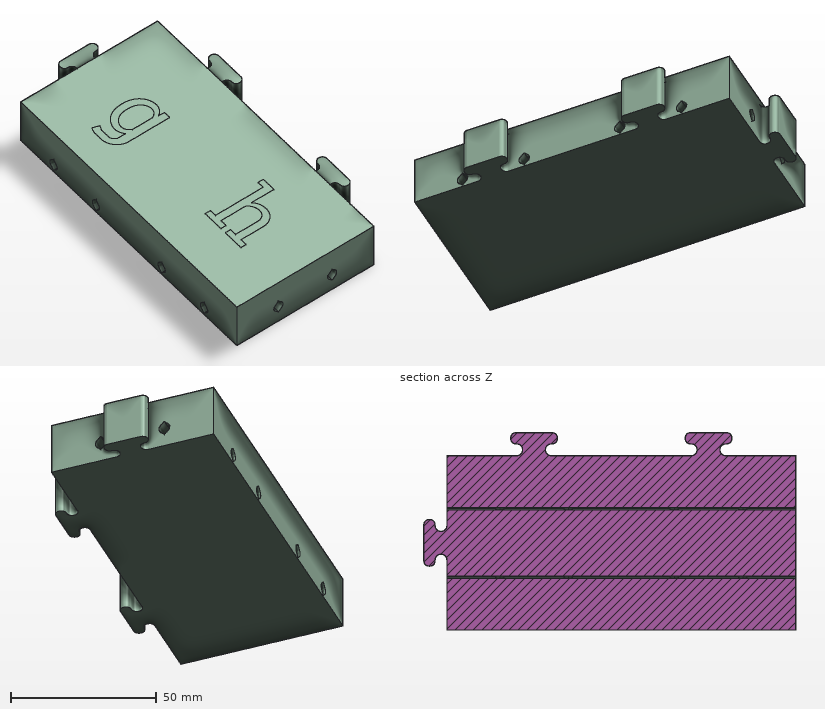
import cadquery as cq
import math

DIAGONAL = math.sqrt(0.5)

TILE = 60.0
TILE_COUNT = 2
BLOCK_LENGTH = TILE_COUNT * TILE
BLOCK_WIDTH = TILE
BLOCK_HEIGHT = 20.0

HEAD_THICKNESS = 4.0
CONNECTOR_REACH = 2 * HEAD_THICKNESS
CONNECTOR_HEIGHT = 17.5
HEAD_HALF_WIDTH = 8.0
NECK_HALF_WIDTH = 4.0
ROUND_RADIUS = 1.9

HOLE_DIAMETER = 4.0
HOLE_OFFSET = 11.8
HOLE_ALONG_Y_Z = 3.5
HOLE_ALONG_X_Z = 7.5

INLAY_DEPTH = 1.0
STROKE = 3.1
SERIF_THICKNESS = 2.3

H_BASELINE = 18.0
H_TOP = 43.5
H_STEM_LEFT = 82.4
H_LEG_LEFT = 93.5
SERIF_OVERHANG = 2.8
H_ARCH_TOP = 36.0
H_ARCH_TOP_X = 90.8
H_ARCH_JOIN = 33.7

G_STEM_LEFT = 33.8
G_STEM_RIGHT = 37.4
G_TOP = 35.8
G_BOWL_LEFT = 22.3
G_BOWL_MIDDLE = 26.7
G_BOWL_PEAK_X = 29.3
G_BOWL_HALF_HEIGHT = 9.1
G_BOWL_JOIN = 7.4
G_COUNTER_LEFT = 25.3
G_COUNTER_PEAK_X = 29.7
G_COUNTER_HALF_HEIGHT = 6.7
G_COUNTER_JOIN = 4.4
G_EAR_LOW = (34.3, 33.3)
G_EAR_HIGH_X = 34.5
G_TAIL_BOTTOM = 11.1
G_TAIL_THICKNESS = 2.7
G_TAIL_OUTER_RADIUS = 6.9
G_TAIL_INNER_RADIUS = 2.5
G_TAIL_LOW_X = 27.4
G_TAIL_TIP_LOW = (24.6, 11.9)
G_TAIL_TIP_HIGH = (25.5, 14.6)


def diagonal_point(center_x, center_y, radius, x_side=1, y_side=1):
    """Point on a circle at 45 degrees, in the quadrant picked by the two side signs."""
    return center_x + x_side * radius * DIAGONAL, center_y + y_side * radius * DIAGONAL


def connector():
    """T-shaped connector growing along +Y from the origin, with its root on Y = 0."""
    radius = ROUND_RADIUS
    root = NECK_HALF_WIDTH + radius
    head_round = HEAD_HALF_WIDTH - radius
    head_bottom = CONNECTOR_REACH - HEAD_THICKNESS
    upper_round_y = CONNECTOR_REACH - radius
    lower_round_y = head_bottom + radius
    lower_round = diagonal_point(head_round, lower_round_y, radius, 1, -1)
    neck_top_y = head_bottom - radius
    half = (
        cq.Workplane("XY")
        .lineTo(root, 0)
        .threePointArc(diagonal_point(root, radius, radius, -1, -1), (NECK_HALF_WIDTH, radius))
        .lineTo(NECK_HALF_WIDTH, neck_top_y)
        .threePointArc(diagonal_point(root, neck_top_y, radius, -1, 1), (root, head_bottom))
        .lineTo(head_round, head_bottom)
        .threePointArc(lower_round, (HEAD_HALF_WIDTH, lower_round_y))
        .lineTo(HEAD_HALF_WIDTH, upper_round_y)
        .threePointArc(diagonal_point(head_round, upper_round_y, radius), (head_round, CONNECTOR_REACH))
        .lineTo(0, CONNECTOR_REACH)
        .close()
        .extrude(CONNECTOR_HEIGHT)
    )
    return half.union(half.mirror("YZ")).clean()


def peaked_hole(plane, position, height, length):
    """Through-hole cutter, symmetric about the plane, its round sides tangent to the peaks."""
    radius = HOLE_DIAMETER / 2
    peak = radius / DIAGONAL
    return (
        cq.Workplane(plane)
        .center(position, height)
        .moveTo(0, peak)
        .lineTo(*diagonal_point(0, 0, radius))
        .threePointArc((radius, 0), diagonal_point(0, 0, radius, 1, -1))
        .lineTo(0, -peak)
        .lineTo(*diagonal_point(0, 0, radius, -1, -1))
        .threePointArc((-radius, 0), diagonal_point(0, 0, radius, -1, 1))
        .close()
        .extrude(length, both=True)
    )


def inlay_sketch():
    """Workplane at the floor of the letter recesses."""
    return cq.Workplane("XY", origin=(0, 0, BLOCK_HEIGHT - INLAY_DEPTH))


def letter_h():
    """Slab-serif letter h."""
    stem_right = H_STEM_LEFT + STROKE
    leg_right = H_LEG_LEFT + STROKE
    stem_serif_left = H_STEM_LEFT - SERIF_OVERHANG
    stem_serif_right = stem_right + SERIF_OVERHANG
    leg_serif_left = H_LEG_LEFT - SERIF_OVERHANG
    leg_serif_right = leg_right + SERIF_OVERHANG
    foot_top = H_BASELINE + SERIF_THICKNESS
    flag_bottom = H_TOP - SERIF_THICKNESS

    outer_radius = leg_right - H_ARCH_TOP_X
    shoulder = H_ARCH_TOP - outer_radius
    inner_top = H_ARCH_TOP - SERIF_THICKNESS
    inner_radius = inner_top - shoulder
    inner_top_x = H_LEG_LEFT - inner_radius
    inner_join = H_ARCH_JOIN - SERIF_THICKNESS
    return (
        inlay_sketch()
        .moveTo(stem_serif_left, H_BASELINE)
        .lineTo(stem_serif_right, H_BASELINE)
        .lineTo(stem_serif_right, foot_top)
        .lineTo(stem_right, foot_top)
        .lineTo(stem_right, inner_join)
        .spline([(inner_top_x, inner_top)], tangents=[(1, 1), (1, 0)], includeCurrent=True)
        .threePointArc(diagonal_point(inner_top_x, shoulder, inner_radius), (H_LEG_LEFT, shoulder))
        .lineTo(H_LEG_LEFT, foot_top)
        .lineTo(leg_serif_left, foot_top)
        .lineTo(leg_serif_left, H_BASELINE)
        .lineTo(leg_serif_right, H_BASELINE)
        .lineTo(leg_serif_right, foot_top)
        .lineTo(leg_right, foot_top)
        .lineTo(leg_right, shoulder)
        .threePointArc(diagonal_point(H_ARCH_TOP_X, shoulder, outer_radius), (H_ARCH_TOP_X, H_ARCH_TOP))
        .spline([(stem_right, H_ARCH_JOIN)], tangents=[(-1, 0), (-1, -1)], includeCurrent=True)
        .lineTo(stem_right, H_TOP)
        .lineTo(stem_serif_left, H_TOP)
        .lineTo(stem_serif_left, flag_bottom)
        .lineTo(H_STEM_LEFT, flag_bottom)
        .lineTo(H_STEM_LEFT, foot_top)
        .lineTo(stem_serif_left, foot_top)
        .close()
        .extrude(INLAY_DEPTH)
    )


def bowl_points(left, peak_x, half_height, join):
    """Points of a bowl, elliptical on its left, clockwise from its low end on the stem to its high end."""
    diagonal_x = peak_x - (peak_x - left) * DIAGONAL
    diagonal_rise = half_height * DIAGONAL
    return [
        (G_STEM_LEFT, G_BOWL_MIDDLE - join),
        (peak_x, G_BOWL_MIDDLE - half_height),
        (diagonal_x, G_BOWL_MIDDLE - diagonal_rise),
        (left, G_BOWL_MIDDLE),
        (diagonal_x, G_BOWL_MIDDLE + diagonal_rise),
        (peak_x, G_BOWL_MIDDLE + half_height),
        (G_STEM_LEFT, G_BOWL_MIDDLE + join),
    ]


def letter_g():
    """Letter g with an open tail, its counter cut out of the bowl."""
    bowl = bowl_points(G_BOWL_LEFT, G_BOWL_PEAK_X, G_BOWL_HALF_HEIGHT, G_BOWL_JOIN)
    counter = bowl_points(G_COUNTER_LEFT, G_COUNTER_PEAK_X, G_COUNTER_HALF_HEIGHT, G_COUNTER_JOIN)

    outer_x = G_STEM_RIGHT - G_TAIL_OUTER_RADIUS
    outer_y = G_TAIL_BOTTOM + G_TAIL_OUTER_RADIUS
    tail_top = G_TAIL_BOTTOM + G_TAIL_THICKNESS
    inner_x = G_STEM_LEFT - G_TAIL_INNER_RADIUS
    inner_y = tail_top + G_TAIL_INNER_RADIUS
    outer_middle = diagonal_point(outer_x, outer_y, G_TAIL_OUTER_RADIUS, 1, -1)
    inner_middle = diagonal_point(inner_x, inner_y, G_TAIL_INNER_RADIUS, 1, -1)

    outline = (
        inlay_sketch()
        .moveTo(*bowl[-1])
        .lineTo(*G_EAR_LOW)
        .lineTo(G_EAR_HIGH_X, G_TOP)
        .lineTo(G_STEM_RIGHT, G_TOP)
        .lineTo(G_STEM_RIGHT, outer_y)
        .threePointArc(outer_middle, (outer_x, G_TAIL_BOTTOM))
        .lineTo(G_TAIL_LOW_X, G_TAIL_BOTTOM)
        .tangentArcPoint(G_TAIL_TIP_LOW, relative=False)
        .lineTo(*G_TAIL_TIP_HIGH)
        .lineTo(G_TAIL_LOW_X, tail_top)
        .lineTo(inner_x, tail_top)
        .threePointArc(inner_middle, (G_STEM_LEFT, inner_y))
        .lineTo(*bowl[0])
        .spline(bowl[1:], includeCurrent=True)
        .close()
        .extrude(INLAY_DEPTH)
    )
    opening = inlay_sketch().moveTo(*counter[0]).spline(counter[1:], includeCurrent=True).close()
    return outline.cut(opening.extrude(INLAY_DEPTH))


def tile_block(inlays):
    """Block with its connectors, cross holes and a recess for each inlay."""
    block = cq.Workplane("XY").box(BLOCK_LENGTH, BLOCK_WIDTH, BLOCK_HEIGHT, centered=False)
    side_connector = connector().rotate((0, 0, 0), (0, 0, 1), 90)
    block = block.union(side_connector.translate((0, BLOCK_WIDTH / 2, 0)))

    for tile in range(TILE_COUNT):
        tile_center = (tile + 0.5) * TILE
        block = block.union(connector().translate((tile_center, BLOCK_WIDTH, 0)))
        for side in (-1, 1):
            x = tile_center + side * HOLE_OFFSET
            block = block.cut(peaked_hole("XZ", x, HOLE_ALONG_Y_Z, BLOCK_WIDTH))

    for side in (-1, 1):
        y = BLOCK_WIDTH / 2 + side * HOLE_OFFSET
        block = block.cut(peaked_hole("YZ", y, HOLE_ALONG_X_Z, BLOCK_LENGTH))

    for inlay in inlays:
        block = block.cut(inlay)
    return block


inlay_g = letter_g()
inlay_h = letter_h()
block = tile_block([inlay_g, inlay_h])

result = cq.Compound.makeCompound([body.solids().val() for body in (block, inlay_g, inlay_h)])